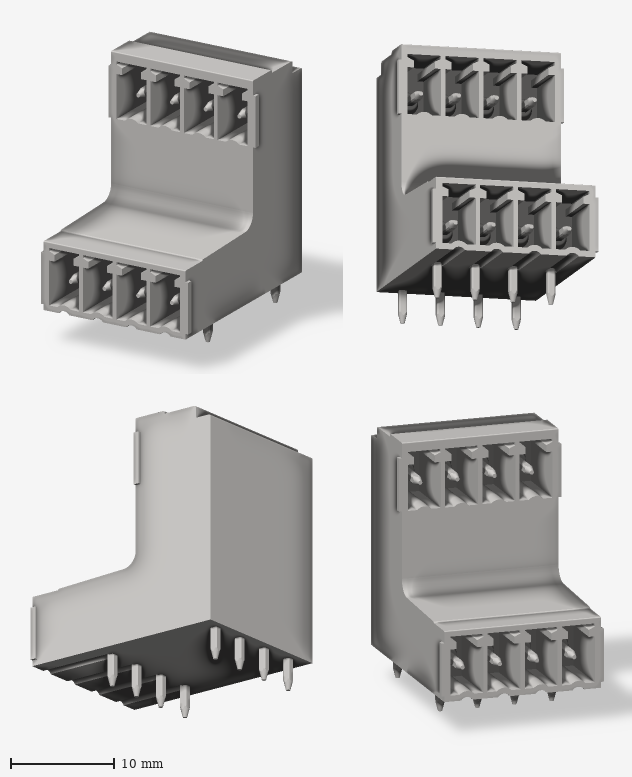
import cadquery as cq
import math


CONTACTS_PER_ROW = 4
CONTACT_PITCH = 3.8
ROW_SETBACK = 12.7
ROW_RISE = 15.23
PIN_HEIGHT = 2.95

OVERALL_WIDTH = 16.63
OVERALL_HEIGHT = 25.9
WIDTH = 16.03
DEPTH = 21.9
HEIGHT = 22.71
MIDDLE_STEP_DROP = 0.3
BACK_STEP_DROP = 1.58
MIDDLE_STEP_INSET = 5.65
BACK_STEP_INSET = 1.8
LOWER_TOP = 7.12
LIP_DEPTH = 3.13
RAMP_STEP_RUN = 0.13
RAMP_STEP_RISE = 0.13
RAMP_ANGLE = 2.0
INNER_RADIUS = 1.53
STEP_RADIUS = 0.2
FRONT_RADIUS = 0.1

TAB_THICKNESS = (OVERALL_WIDTH - WIDTH) / 2
TAB_DEPTH = 0.6
TAB_HEIGHT = 5.34

CAVITY_WIDTH = 3.37
CAVITY_FLOOR = 0.6
CAVITY_TOP = 6.53
CAVITY_DEPTH = 6.48
KEY_REACH = 0.62
KEY_TOP_DROP = 0.3
KEY_SLANT_DROP = 0.6
KEY_BOTTOM_DROP = 1.3
RIDGE_HALF_WIDTH = 0.75
RIDGE_HEIGHT = 0.3

COLLAR_BASE_RADIUS = 1.15
COLLAR_END_RADIUS = 0.83
COLLAR_LENGTH = 1.04
COLLAR_ROUNDING = 0.18

GROOVE_HALF_WIDTH = 0.6
GROOVE_HEIGHT = 0.3

PIN_SIZE = 0.8
PIN_CHAMFER = 0.13
PIN_TIP_SETBACK = 1.25
PIN_TO_FRONT = 8.03
TAIL_LENGTH = OVERALL_HEIGHT - HEIGHT
TIP_RADIUS = 0.2
TIP_TAPER = 0.26

ROW_PLACES = [(0.0, 0.0), (ROW_SETBACK, ROW_RISE)]
CONTACT_X = [(i - (CONTACTS_PER_ROW - 1) / 2) * CONTACT_PITCH for i in range(CONTACTS_PER_ROW)]


def round_edges(body, places, radius):
    """Round the edges along X that lie at the given (Y, Z) places."""
    for y, z in places:
        body = body.edges(cq.selectors.NearestToPointSelector((0, y, z))).fillet(radius)
    return body


def make_shell():
    """L-shaped block with a stepped top and a slightly sloping lower deck."""
    middle_step_y = DEPTH - MIDDLE_STEP_INSET
    back_step_y = DEPTH - BACK_STEP_INSET
    middle_z = HEIGHT - MIDDLE_STEP_DROP
    back_z = HEIGHT - BACK_STEP_DROP
    ramp_start_y = LIP_DEPTH + RAMP_STEP_RUN
    ramp_start_z = LOWER_TOP + RAMP_STEP_RISE
    ramp_end_z = ramp_start_z + (ROW_SETBACK - ramp_start_y) * math.tan(math.radians(RAMP_ANGLE))
    outline = [
        (0, 0),
        (0, LOWER_TOP),
        (LIP_DEPTH, LOWER_TOP),
        (ramp_start_y, ramp_start_z),
        (ROW_SETBACK, ramp_end_z),
        (ROW_SETBACK, HEIGHT),
        (middle_step_y, HEIGHT),
        (middle_step_y, middle_z),
        (back_step_y, middle_z),
        (back_step_y, back_z),
        (DEPTH, back_z),
        (DEPTH, 0),
    ]
    shell = cq.Workplane("YZ").polyline(outline).close().extrude(WIDTH / 2, both=True)
    shell = round_edges(shell, [(ROW_SETBACK, ramp_end_z)], INNER_RADIUS)
    shell = round_edges(
        shell, [(middle_step_y, HEIGHT), (back_step_y, middle_z), (DEPTH, back_z)], STEP_RADIUS
    )
    return round_edges(shell, [(0, LOWER_TOP), (ROW_SETBACK, HEIGHT)], FRONT_RADIUS)


def make_tabs(row_y, row_z):
    """Two side tabs of one row, flush with its front face."""
    offset = (WIDTH + TAB_THICKNESS) / 2
    return (
        cq.Workplane("XY", origin=(0, row_y, row_z + CAVITY_FLOOR))
        .pushPoints([(-offset, 0), (offset, 0)])
        .box(TAB_THICKNESS, TAB_DEPTH, TAB_HEIGHT, centered=(True, False, False))
    )


def make_cavity(x, row_y, row_z):
    """Space of one cavity: two key ribs near the top, a ridge along the floor, a collar at the back."""
    half = CAVITY_WIDTH / 2
    neck = half - KEY_REACH
    key_top = CAVITY_TOP - KEY_TOP_DROP
    key_slant = CAVITY_TOP - KEY_SLANT_DROP
    key_bottom = CAVITY_TOP - KEY_BOTTOM_DROP
    space = (
        cq.Workplane("XZ")
        .moveTo(-RIDGE_HALF_WIDTH, CAVITY_FLOOR)
        .threePointArc((0, CAVITY_FLOOR + RIDGE_HEIGHT), (RIDGE_HALF_WIDTH, CAVITY_FLOOR))
        .lineTo(half, CAVITY_FLOOR)
        .lineTo(half, key_bottom)
        .lineTo(neck, key_bottom)
        .lineTo(neck, key_slant)
        .lineTo(half, key_top)
        .lineTo(half, CAVITY_TOP)
        .lineTo(-half, CAVITY_TOP)
        .lineTo(-half, key_top)
        .lineTo(-neck, key_slant)
        .lineTo(-neck, key_bottom)
        .lineTo(-half, key_bottom)
        .lineTo(-half, CAVITY_FLOOR)
        .close()
        .extrude(-CAVITY_DEPTH)
    )
    collar = (
        cq.Workplane("XZ", origin=(0, CAVITY_DEPTH, PIN_HEIGHT))
        .circle(COLLAR_BASE_RADIUS)
        .workplane(offset=COLLAR_LENGTH)
        .circle(COLLAR_END_RADIUS)
        .loft()
        .faces("<Y")
        .edges()
        .fillet(COLLAR_ROUNDING)
    )
    return space.cut(collar).translate((x, row_y, row_z))


def make_groove(x):
    """Arched groove in the underside, from the lower front face back to the pin axis."""
    return (
        cq.Workplane("XZ")
        .moveTo(x - GROOVE_HALF_WIDTH, 0)
        .threePointArc((x, GROOVE_HEIGHT), (x + GROOVE_HALF_WIDTH, 0))
        .close()
        .extrude(-PIN_TO_FRONT)
    )


def make_pin_leg(length):
    """Square bar along +Z with chamfered corners and a conical tip at Z = 0."""
    bar = (
        cq.Workplane("XY")
        .rect(PIN_SIZE, PIN_SIZE)
        .extrude(length)
        .edges("|Z")
        .chamfer(PIN_CHAMFER)
    )
    cone = cq.Workplane("XY").circle(TIP_RADIUS).workplane(offset=length)
    cone = cone.circle(TIP_RADIUS + TIP_TAPER * length).loft()
    return bar.intersect(cone)


def make_pin(x, row_y, row_z):
    """Bent pin: a contact leg lying in the cavity and an upright solder leg."""
    corner_y = row_y + PIN_TO_FRONT
    axis_z = row_z + PIN_HEIGHT
    contact_length = PIN_TO_FRONT - PIN_TIP_SETBACK + PIN_SIZE / 2
    solder_length = TAIL_LENGTH + axis_z + PIN_SIZE / 2
    contact_leg = (
        make_pin_leg(contact_length)
        .rotate((0, 0, 0), (1, 0, 0), -90)
        .translate((x, row_y + PIN_TIP_SETBACK, axis_z))
    )
    solder_leg = make_pin_leg(solder_length).translate((x, corner_y, -TAIL_LENGTH))
    return contact_leg.union(solder_leg)


def make_housing(pins):
    """Shell with tabs, cavities and grooves, and a matching passage for each pin."""
    housing = make_shell()
    for row_y, row_z in ROW_PLACES:
        housing = housing.union(make_tabs(row_y, row_z))
        for x in CONTACT_X:
            housing = housing.cut(make_cavity(x, row_y, row_z))
    for x in CONTACT_X:
        housing = housing.cut(make_groove(x))
    for pin in pins:
        housing = housing.cut(pin)
    return housing


pins = [make_pin(x, row_y, row_z) for row_y, row_z in ROW_PLACES for x in CONTACT_X]
housing = make_housing(pins)

result = cq.Compound.makeCompound([housing.val(), *[pin.val() for pin in pins]])